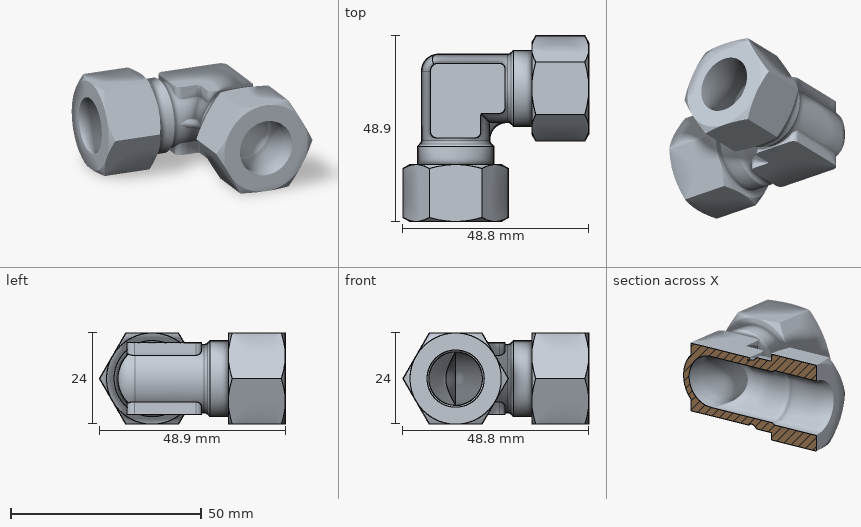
import cadquery as cq
import math

length_overall = 48.85
hex_across_flats = 24.0
nut_length = 15.0
tube_radius = 9.0
corner_round = 4.5
crotch_radius = 4.5
web_half_thickness = 1.15
web_rim_round = 1.1
collar_radius = 10.0
neck_start = 13.7
neck_fillet = 1.25
flare_angle = 45.0
pad_half_height = 9.5
pad_half_width = 6.6
pad_length = 13.0
pad_corner_round = 2.0
pad_tip_round = 1.5
pad_notch_round = 0.55
bore_radius = 7.05
socket_radius = 7.52
socket_depth = 13.95
drill_half_angle = 60.0
hex_chamfer_angle = 30.0

hex_corner_radius = hex_across_flats / math.sqrt(3)
arm_length = length_overall - hex_corner_radius
nut_start = arm_length - nut_length


def revolve_about_x(profile):
    return profile.close().revolve(360, (0, 0, 0), (1, 0, 0))


def along_both_arms(solid):
    """Join an arm feature built along +X with its copy along -Y."""
    return solid.union(solid.rotate((0, 0, 0), (0, 0, 1), -90))


def arm_body():
    """Tube, flared neck and collar, reaching into the nut."""
    flare = math.radians(flare_angle)
    fillet_end_x = neck_start + neck_fillet * math.sin(flare)
    fillet_end_r = tube_radius + neck_fillet * (1 - math.cos(flare))
    fillet_mid_x = neck_start + neck_fillet * math.sin(flare / 2)
    fillet_mid_r = tube_radius + neck_fillet * (1 - math.cos(flare / 2))
    collar_start = fillet_end_x + (collar_radius - fillet_end_r) / math.tan(flare)
    collar_end = nut_start + nut_length / 2
    profile = (
        cq.Workplane("XY")
        .lineTo(0, tube_radius)
        .lineTo(neck_start, tube_radius)
        .threePointArc((fillet_mid_x, fillet_mid_r), (fillet_end_x, fillet_end_r))
        .lineTo(collar_start, collar_radius)
        .lineTo(collar_end, collar_radius)
        .lineTo(collar_end, 0)
    )
    return revolve_about_x(profile)


def outer_corner():
    """Blunt end of the Y tube with a rounded rim, trimmed to the X tube."""
    rounded_end = (
        cq.Workplane("XZ")
        .circle(tube_radius)
        .extrude(-tube_radius)
        .faces(">Y")
        .edges()
        .fillet(corner_round)
    )
    half_x_tube = cq.Workplane("YZ").circle(tube_radius).extrude(-tube_radius)
    return rounded_end.intersect(half_x_tube)


def nut():
    """Hexagon with flats facing +Z and -Z, both ends chamfered by a cone."""
    hexagon = (
        cq.Workplane("YZ", origin=(nut_start, 0, 0))
        .polygon(6, 2 * hex_corner_radius)
        .extrude(nut_length)
    )
    face_radius = hex_across_flats / 2
    chamfer_run = (hex_corner_radius - face_radius) * math.tan(math.radians(hex_chamfer_angle))
    envelope = revolve_about_x(
        cq.Workplane("XY")
        .moveTo(nut_start, 0)
        .lineTo(nut_start, face_radius)
        .lineTo(nut_start + chamfer_run, hex_corner_radius)
        .lineTo(arm_length - chamfer_run, hex_corner_radius)
        .lineTo(arm_length, face_radius)
        .lineTo(arm_length, 0)
    )
    return hexagon.intersect(envelope)


def bore():
    """Drilled passage with a conical bottom and a wider tube socket at the mouth."""
    drill_point = bore_radius / math.tan(math.radians(drill_half_angle))
    socket_bottom = arm_length - socket_depth
    shoulder = socket_radius - bore_radius
    return revolve_about_x(
        cq.Workplane("XY")
        .moveTo(-drill_point, 0)
        .lineTo(0, bore_radius)
        .lineTo(socket_bottom - shoulder, bore_radius)
        .lineTo(socket_bottom, socket_radius)
        .lineTo(arm_length, socket_radius)
        .lineTo(arm_length, 0)
    )


def pads():
    """L-shaped wrench flats above and below the elbow."""
    w = pad_half_width
    tip = pad_length
    outer_point = (-w, w)
    notch_point = (w, -w)
    tip_points = [(tip, w), (tip, -w), (w, -tip), (-w, -tip)]
    outline = [outer_point, tip_points[0], tip_points[1], notch_point, tip_points[2], tip_points[3]]
    block = (
        cq.Workplane("XY", origin=(0, 0, -pad_half_height))
        .polyline(outline)
        .close()
        .extrude(2 * pad_half_height)
    )
    rounds = [(outer_point, pad_corner_round), (notch_point, pad_notch_round)]
    rounds += [(point, pad_tip_round) for point in tip_points]
    for (x, y), radius in rounds:
        block = block.edges(cq.selectors.NearestToPointSelector((x, y, 0))).fillet(radius)
    return block


def crotch_web():
    """Thin round-edged web filling the inner corner between the two tubes."""
    reach = tube_radius + crotch_radius
    inside = bore_radius
    mid = reach - crotch_radius * math.sqrt(0.5)
    return (
        cq.Workplane("XY", origin=(0, 0, -web_half_thickness))
        .moveTo(inside, -inside)
        .lineTo(reach, -inside)
        .lineTo(reach, -tube_radius)
        .threePointArc((mid, -mid), (tube_radius, -reach))
        .lineTo(inside, -reach)
        .close()
        .extrude(2 * web_half_thickness)
        .edges("%CIRCLE")
        .fillet(web_rim_round)
    )


result = (
    along_both_arms(arm_body())
    .union(outer_corner())
    .union(pads())
    .union(crotch_web())
    .union(along_both_arms(nut()))
    .cut(along_both_arms(bore()))
)